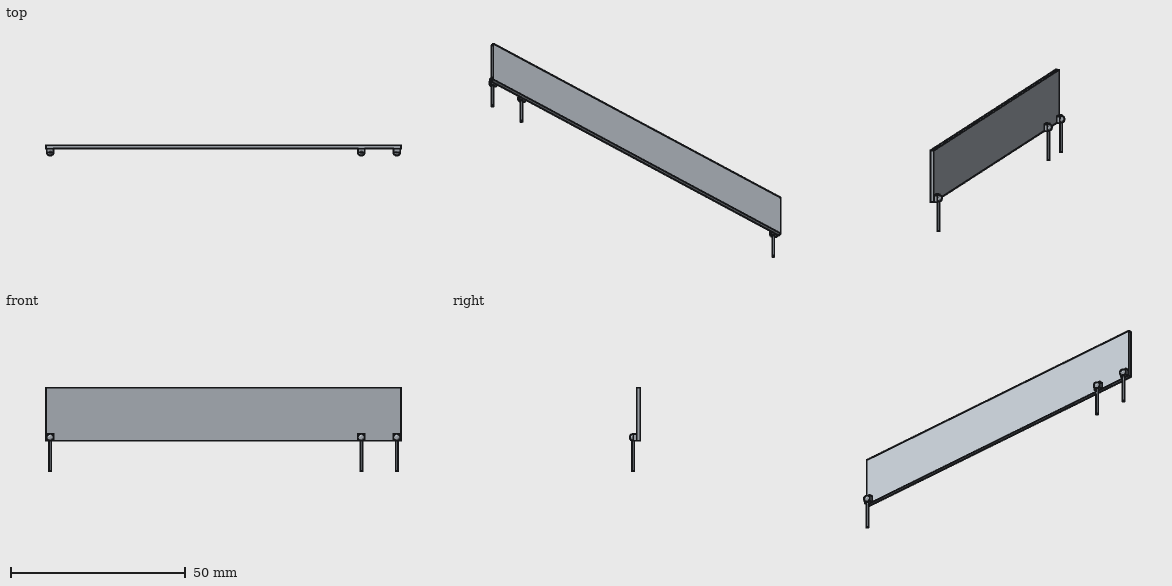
import cadquery as cq

plate_length = 101.6
plate_height = 15.2
plate_thickness = 1.0
block_half = 1.0
block_depth = 1.0
pin_diameter = 0.7
pin_length = 8.6
end_pin_inset = 1.2
right_pair_spacing = 10.2

block_size = 2 * block_half
block_face_y = -plate_thickness - block_depth
dome_radius = block_half
right_pin_x = plate_length - end_pin_inset
pin_positions = [end_pin_inset, right_pin_x - right_pair_spacing, right_pin_x]


def make_plate():
    """Upright plate with its back face on y = 0 and its lower edge on z = 0."""
    return cq.Workplane("XY").box(
        plate_length, plate_thickness, plate_height, centered=False
    ).translate((0, -plate_thickness, 0))


def make_block(x):
    """Square block on the front of the plate, flush with the lower edge."""
    return cq.Workplane("XY").box(
        block_size, block_depth, block_size, centered=False
    ).translate((x - block_half, block_face_y, 0))


def make_dome(x):
    """Half ball whose flat side rests on the front face of the block."""
    ball = cq.Workplane("XY").sphere(dome_radius)
    front_half = cq.Workplane("XY").box(
        block_size, dome_radius, block_size, centered=(True, False, True)
    ).translate((0, -dome_radius, 0))
    return ball.intersect(front_half).translate((x, block_face_y, block_half))


def make_pin(x):
    """Round pin hanging from the block's underside, centred on its front face."""
    return (
        cq.Workplane("XY")
        .center(x, block_face_y)
        .circle(pin_diameter / 2)
        .extrude(-pin_length)
    )


plate = make_plate()
bodies = [plate.val()]
for pin_x in pin_positions:
    block = make_block(pin_x)
    dome = make_dome(pin_x)
    pin = make_pin(pin_x)
    bodies += [block.val(), dome.val(), pin.val()]

result = cq.Compound.makeCompound(bodies)